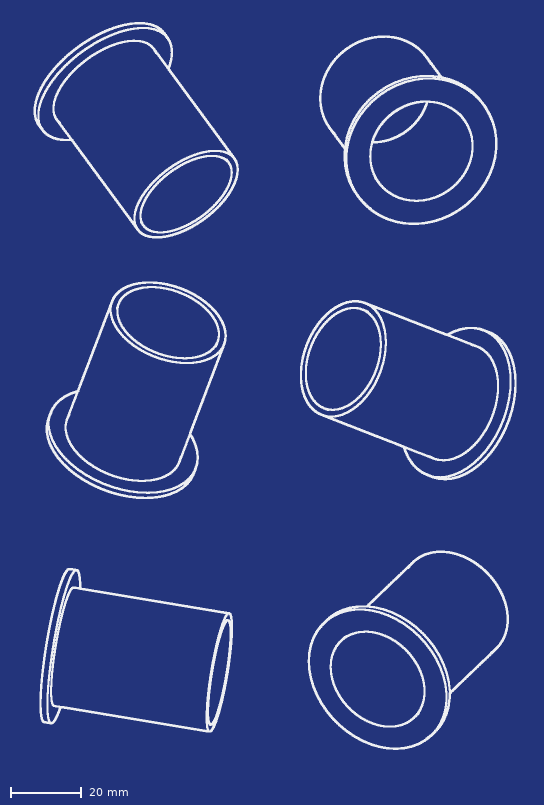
import cadquery as cq

total_length = 47.0
flange_diameter = 44.0
flange_thickness = 2.0
sleeve_diameter = 34.0
bore_diameter = 30.0

sleeve = cq.Workplane("YZ").circle(sleeve_diameter / 2).extrude(total_length)
flange = cq.Workplane("YZ").circle(flange_diameter / 2).extrude(flange_thickness)

bore = cq.Workplane("YZ").circle(bore_diameter / 2).extrude(total_length)

result = sleeve.union(flange).cut(bore)